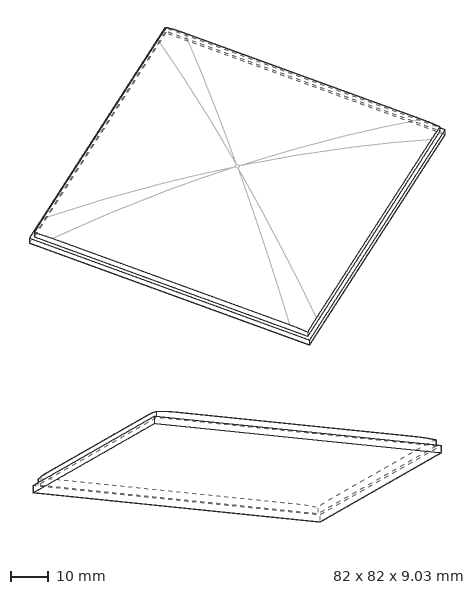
import cadquery as cq
import math

flange_side = 82.0
flange_height = 2.0
body_side = 80.0
rim_height = 4.0

overall_height = 9.03
flat_side = 1.0
ridge_radius = 21.0

half_body = body_side / 2
half_flat = flat_side / 2
arch_run = half_body - half_flat
arch_drop = overall_height - rim_height
arch_radius = (arch_run**2 + arch_drop**2) / (2 * arch_drop)


def flange():
    """Square plate, wider than the body, at the bottom of the part."""
    return cq.Workplane("XY").rect(flange_side, flange_side).extrude(flange_height)


def arched_vault(plane):
    """Prism with straight sides and an arched top, as long as the body is wide."""
    half_run = arch_run / 2
    mid_offset = half_flat + half_run
    mid_height = overall_height - arch_radius + math.sqrt(arch_radius**2 - half_run**2)
    return (
        cq.Workplane(plane)
        .moveTo(-half_body, 0)
        .lineTo(half_body, 0)
        .lineTo(half_body, rim_height)
        .threePointArc((mid_offset, mid_height), (half_flat, overall_height))
        .lineTo(-half_flat, overall_height)
        .threePointArc((-mid_offset, mid_height), (-half_body, rim_height))
        .close()
        .extrude(half_body, both=True)
    )


def is_ridge(edge):
    """True for the diagonal edges, the only ones that extend along both X and Y."""
    box = edge.BoundingBox()
    return min(box.xlen, box.ylen) > flat_side


def domed_body():
    """Square body whose top is the overlap of both vaults, with rounded ridges."""
    dome = arched_vault("XZ").intersect(arched_vault("YZ"))
    ridges = [edge for edge in dome.edges().vals() if is_ridge(edge)]
    return dome.newObject(ridges).fillet(ridge_radius)


result = flange().union(domed_body())